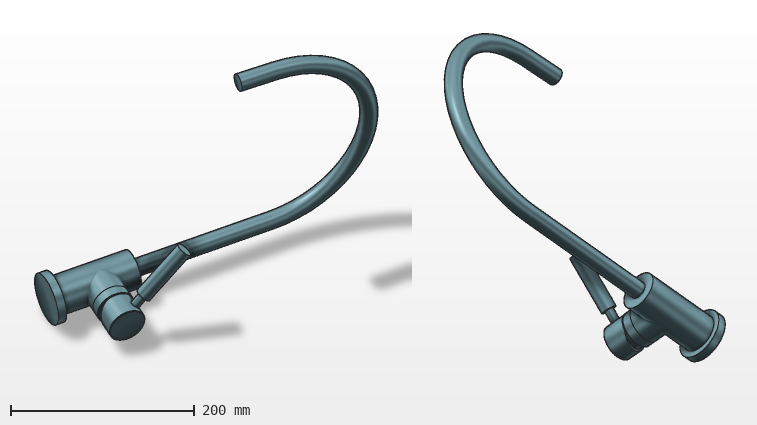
import cadquery as cq
import math

flange_radius = 30.0
flange_thickness = 10.0
housing_radius = 22.5
housing_top = 104.0

spout_radius = 10.0
bend_radius = 117.5
bend_angle = 177.8
spout_reach = 399.5
nozzle_length = 45.0

branch_y = 62.0
branch_radius = 21.8
branch_fillet = 2.0
boss_end = 32.8
ring_end = 44.8
ring_chamfer = 0.8

cap_radius = 21.4
neck_radius = 18.8
cap_gap = 0.8
cap_start = ring_end + cap_gap
cap_end = 74.5
cap_chamfer = 0.8
relief_angle = 20.6
relief_offset = 4.0

lever_x = 62.0
lever_tilt = 45.0
stem_radius = 5.0
stem_start = 16.0
grip_radius = 9.0
grip_start = 35.5
grip_length = 70.0


def cylinder_y(radius, start, end):
    """Cylinder on the housing axis."""
    return cq.Workplane("XZ", origin=(0, start, 0)).circle(radius).extrude(start - end)


def cylinder_x(radius, start, end):
    """Cylinder on the branch axis."""
    return cq.Workplane("YZ", origin=(start, branch_y, 0)).circle(radius).extrude(end - start)


def lever_cylinder(radius, start, length):
    """Cylinder on the lever axis, starting at a distance from the branch axis."""
    along_y = math.cos(math.radians(lever_tilt))
    along_z = math.sin(math.radians(lever_tilt))
    plane = cq.Plane(
        origin=(lever_x, branch_y + start * along_y, start * along_z),
        xDir=(1, 0, 0),
        normal=(0, along_y, along_z),
    )
    return cq.Workplane(plane).circle(radius).extrude(length)


def make_flange():
    return cylinder_y(flange_radius, 0, flange_thickness)


def make_housing():
    """Upright barrel with a filleted side boss."""
    barrel = cylinder_y(housing_radius, flange_thickness, housing_top)
    boss = cylinder_x(branch_radius, 0, boss_end)
    return barrel.union(boss).edges("%BSPLINE").fillet(branch_fillet)


def make_spout():
    """Straight riser, a bend of almost half a turn, and a straight nozzle."""
    bend_y = spout_reach - spout_radius - bend_radius

    def bend_point(angle):
        turn = math.radians(angle)
        return bend_y + bend_radius * math.sin(turn), bend_radius * (1 - math.cos(turn))

    end_y, end_z = bend_point(bend_angle)
    turn = math.radians(bend_angle)
    nozzle_y = end_y + nozzle_length * math.cos(turn)
    nozzle_z = end_z + nozzle_length * math.sin(turn)
    path = (
        cq.Workplane("YZ")
        .moveTo(housing_top, 0)
        .lineTo(bend_y, 0)
        .threePointArc(bend_point(bend_angle / 2), (end_y, end_z))
        .lineTo(nozzle_y, nozzle_z)
    )
    return cq.Workplane("XZ", origin=(0, housing_top, 0)).circle(spout_radius).sweep(path)


def make_ring():
    return cylinder_x(branch_radius, boss_end, ring_end).faces(">X").chamfer(ring_chamfer)


def make_relief():
    """Wedge that bevels the cap's inner rim on the side opposite the lever."""
    run = cap_radius + relief_offset
    depth = run * math.tan(math.radians(relief_angle))
    along_y = math.cos(math.radians(lever_tilt))
    along_z = math.sin(math.radians(lever_tilt))
    plane = cq.Plane(
        origin=(cap_start, branch_y, 0),
        xDir=(1, 0, 0),
        normal=(0, along_z, -along_y),
    )
    return (
        cq.Workplane(plane)
        .moveTo(0, -relief_offset)
        .lineTo(0, cap_radius)
        .lineTo(depth, cap_radius)
        .close()
        .extrude(cap_radius, both=True)
    )


def make_cap():
    """Bevelled shell around a neck, bored for the lever stem."""
    shell = cylinder_x(cap_radius, cap_start, cap_end).faces(">X").chamfer(cap_chamfer)
    neck = cylinder_x(neck_radius, ring_end, cap_end - cap_chamfer)
    stem_hole = lever_cylinder(stem_radius, stem_start, grip_start - stem_start)
    return shell.cut(make_relief()).union(neck).cut(stem_hole)


def make_lever():
    """Thin stem seated in the cap, carrying a thicker grip."""
    stem = lever_cylinder(stem_radius, stem_start, grip_start - stem_start)
    grip = lever_cylinder(grip_radius, grip_start, grip_length)
    return stem.union(grip)


flange = make_flange()
housing = make_housing()
spout = make_spout()
ring = make_ring()
cap = make_cap()
lever = make_lever()

result = cq.Compound.makeCompound(
    [flange.val(), housing.val(), spout.val(), ring.val(), cap.val(), lever.val()]
)